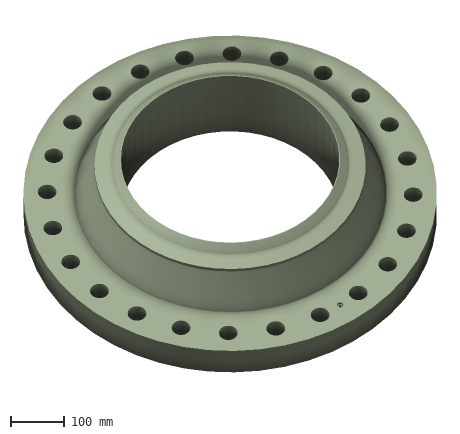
import cadquery as cq
import math

INCH = 25.4

FLANGE_DIAMETER = 30.5 * INCH
FLANGE_THICKNESS = 2.44 * INCH
BOLT_CIRCLE_DIAMETER = 27.0 * INCH
BOLT_COUNT = 24
BOLT_HOLE_DIAMETER = 1.38 * INCH
BOLT_PITCH_ANGLE = 360.0 / BOLT_COUNT

OVERALL_HEIGHT = 6.32 * INCH
HUB_BASE_RADIUS = 292.9
HUB_FILLET_RADIUS = INCH / 8
WELD_END_RADIUS = 20.0 * INCH / 2
WELD_END_STRAIGHT_HEIGHT = 7.0
BORE_RADIUS = 204.5

ROOT_FACE_WIDTH = 1.6
BEVEL_BREAK_RADIUS = 223.0
BEVEL_FILLET_RADIUS = INCH / 8
INNER_BEVEL_ANGLE = 37.5
OUTER_BEVEL_ANGLE = 10.0

SMALL_HOLE_DIAMETER = 12.0
SMALL_HOLE_STEP_DEPTH = 4.0
SMALL_HOLE_LOWER_DIAMETER = 5.0
SMALL_HOLE_DEPTH = 10.0
SMALL_HOLE_ANGLE = BOLT_PITCH_ANGLE / 2

RING_SELECTION_MARGIN = 0.1


def fillet_ring(body, ring_radius, ring_z, fillet_radius):
    """Round the circular edge of the given radius and height about the Z axis."""
    margin = RING_SELECTION_MARGIN
    low_corner = (-ring_radius - margin, -ring_radius - margin, ring_z - margin)
    high_corner = (ring_radius + margin, ring_radius + margin, ring_z + margin)
    ring = cq.selectors.BoxSelector(low_corner, high_corner, boundingbox=True)
    return body.edges(ring).fillet(fillet_radius)


def make_body():
    """Revolve the half section of the plate, tapered hub and weld bevel."""
    root_radius = BORE_RADIUS + ROOT_FACE_WIDTH
    inner_drop = (BEVEL_BREAK_RADIUS - root_radius) * math.tan(math.radians(INNER_BEVEL_ANGLE))
    outer_drop = (WELD_END_RADIUS - BEVEL_BREAK_RADIUS) * math.tan(math.radians(OUTER_BEVEL_ANGLE))
    bevel_break_z = OVERALL_HEIGHT - inner_drop
    bevel_base_z = bevel_break_z - outer_drop
    taper_top_z = bevel_base_z - WELD_END_STRAIGHT_HEIGHT
    half_section = (
        cq.Workplane("XZ")
        .moveTo(BORE_RADIUS, 0)
        .lineTo(FLANGE_DIAMETER / 2, 0)
        .lineTo(FLANGE_DIAMETER / 2, FLANGE_THICKNESS)
        .lineTo(HUB_BASE_RADIUS, FLANGE_THICKNESS)
        .lineTo(WELD_END_RADIUS, taper_top_z)
        .lineTo(WELD_END_RADIUS, bevel_base_z)
        .lineTo(BEVEL_BREAK_RADIUS, bevel_break_z)
        .lineTo(root_radius, OVERALL_HEIGHT)
        .lineTo(BORE_RADIUS, OVERALL_HEIGHT)
        .close()
    )
    body = half_section.revolve(360, (0, 0, 0), (0, 1, 0))
    body = fillet_ring(body, HUB_BASE_RADIUS, FLANGE_THICKNESS, HUB_FILLET_RADIUS)
    return fillet_ring(body, BEVEL_BREAK_RADIUS, bevel_break_z, BEVEL_FILLET_RADIUS)


def make_bolt_holes():
    """Ring of through holes, one of them on the +X axis."""
    return (
        cq.Workplane("XY")
        .polarArray(BOLT_CIRCLE_DIAMETER / 2, 0, 360, BOLT_COUNT)
        .circle(BOLT_HOLE_DIAMETER / 2)
        .extrude(FLANGE_THICKNESS)
    )


def make_small_hole():
    """Stepped blind hole in the plate, on the bolt circle."""
    angle = math.radians(SMALL_HOLE_ANGLE)
    bolt_circle_radius = BOLT_CIRCLE_DIAMETER / 2
    center = (bolt_circle_radius * math.cos(angle), bolt_circle_radius * math.sin(angle))
    plate_top = cq.Workplane("XY", origin=(0, 0, FLANGE_THICKNESS)).center(*center)
    upper_step = plate_top.circle(SMALL_HOLE_DIAMETER / 2).extrude(-SMALL_HOLE_STEP_DEPTH)
    lower_step = plate_top.circle(SMALL_HOLE_LOWER_DIAMETER / 2).extrude(-SMALL_HOLE_DEPTH)
    return upper_step.union(lower_step)


result = make_body().cut(make_bolt_holes()).cut(make_small_hole())